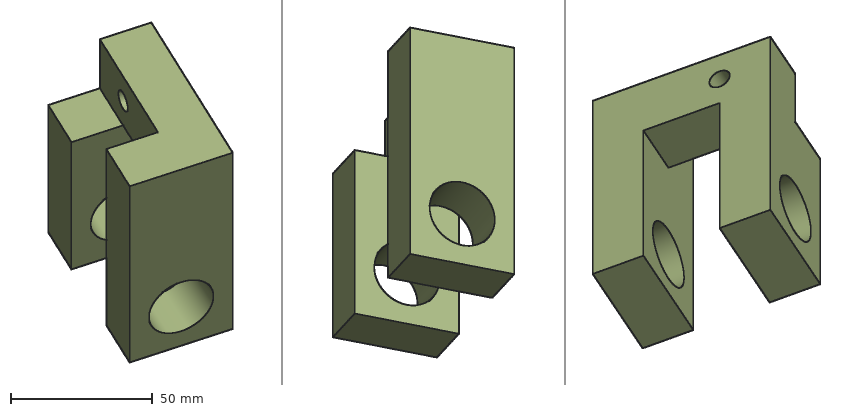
import cadquery as cq

width = 70.0
depth = 40.0
height = 90.0

leg_width = 20.0
bridge_depth = 20.0
bridge_height = 25.0

pin_hole_diameter = 25.0
pin_hole_height = 20.0
bridge_hole_diameter = 8.0
bridge_hole_x = leg_width

gap_width = width - 2 * leg_width
bridge_bottom = height - bridge_height
bridge_front = depth - bridge_depth


def box_at(x, y, z, size_x, size_y, size_z):
    """Box with its lowest corner at (x, y, z)."""
    return cq.Workplane("XY").box(size_x, size_y, size_z, centered=False).translate((x, y, z))


def leg_gap():
    """Open space between the legs, below the bridge."""
    return box_at(leg_width, 0, 0, gap_width, depth, bridge_bottom)


def bridge_notch():
    """Space in front of the bridge, which also shortens the front of the -X leg."""
    return box_at(0, 0, bridge_bottom, width - leg_width, bridge_front, bridge_height)


def pin_hole():
    """Hole along X through both legs, centred in their depth."""
    return (
        cq.Workplane("YZ")
        .center(depth / 2, pin_hole_height)
        .circle(pin_hole_diameter / 2)
        .extrude(width)
    )


def bridge_hole():
    """Hole along Y through the bridge, at its mid-height."""
    return (
        cq.Workplane("XZ", origin=(bridge_hole_x, bridge_front, bridge_bottom + bridge_height / 2))
        .circle(bridge_hole_diameter / 2)
        .extrude(-bridge_depth)
    )


block = box_at(0, 0, 0, width, depth, height)
result = block.cut(leg_gap()).cut(bridge_notch()).cut(pin_hole()).cut(bridge_hole())